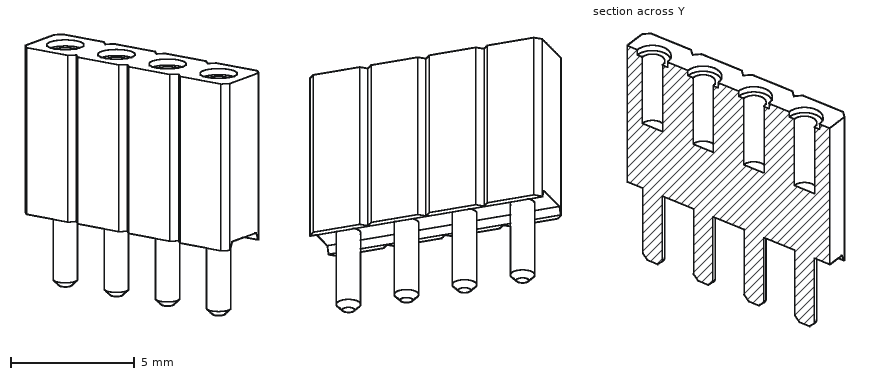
import cadquery as cq

positions = 4
pitch = 2.54
length = positions * pitch
depth = pitch
total_height = 10.1
body_height = 7.0
bevel = 0.25

channel_height = 0.33
channel_mouth = 1.93
channel_roof = 1.67

pin_diameter = 1.0
pin_length = total_height - body_height
tip_bevel = 0.24
socket_diameter = 1.0
socket_depth = 3.5
recess_diameter = 1.5
recess_depth = 0.25

pin_centers = [((i - (positions - 1) / 2) * pitch, 0) for i in range(positions)]


def make_segment(center_x):
    """One bevelled housing cell; bevels of adjoining cells form the V notches."""
    return (
        cq.Workplane("XY")
        .center(center_x, 0)
        .rect(pitch, depth)
        .extrude(body_height)
        .edges("|Z")
        .chamfer(bevel)
    )


def make_channel():
    """Tapered channel running the full length, open at the bottom."""
    return (
        cq.Workplane("YZ", origin=(-length / 2, 0, 0))
        .polyline([
            (-channel_mouth / 2, 0),
            (-channel_roof / 2, channel_height),
            (channel_roof / 2, channel_height),
            (channel_mouth / 2, 0),
        ])
        .close()
        .extrude(length)
    )


def make_pins():
    """Round pins with bevelled tips, rising to the channel roof."""
    return (
        cq.Workplane("XY", origin=(0, 0, -pin_length))
        .pushPoints(pin_centers)
        .circle(pin_diameter / 2)
        .extrude(pin_length + channel_height)
        .faces("<Z")
        .chamfer(tip_bevel)
    )


body = make_segment(pin_centers[0][0])
for center_x, _ in pin_centers[1:]:
    body = body.union(make_segment(center_x))

sockets = (
    cq.Workplane("XY", origin=(0, 0, body_height))
    .pushPoints(pin_centers)
    .circle(socket_diameter / 2)
    .extrude(-socket_depth)
)
recesses = (
    cq.Workplane("XY", origin=(0, 0, body_height))
    .pushPoints(pin_centers)
    .circle(recess_diameter / 2)
    .extrude(-recess_depth)
)

result = body.cut(make_channel()).union(make_pins()).cut(sockets).cut(recesses)